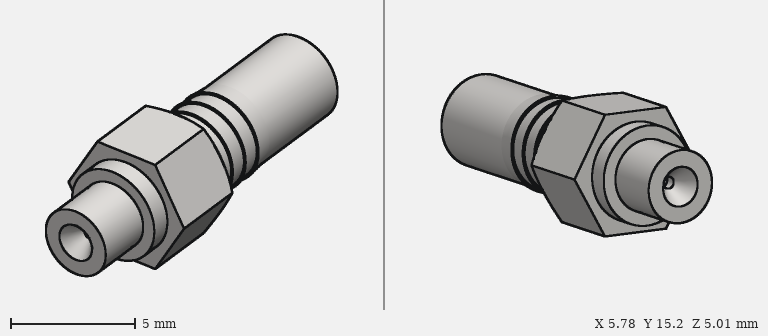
import cadquery as cq
import math

total_length = 15.24

nose_diameter = 3.0
nose_length = 2.53
collar_diameter = 4.11
collar_length = 0.88

hex_length = 3.54
hex_across_corners = 5.78
hex_chamfer_angle = 30.0
hex_chamfer_circle_diameter = 4.88

tail_diameter = 3.81
tail_end_chamfer = 0.1
barb_diameter = 4.0
barb_pitch = 0.87
barb_count = 3
first_barb_gap = 0.98

funnel_mouth_diameter = 1.63
funnel_throat_diameter = 0.49
funnel_depth = 0.9
pilot_depth = 0.49
pilot_tip_angle = 118.0

collar_start = nose_length
hex_start = collar_start + collar_length
hex_end = hex_start + hex_length
barbs_start = hex_end + first_barb_gap


def cylinder(diameter, start, end):
    """Solid cylinder along +Y between two stations."""
    plane = cq.Workplane("XZ", origin=(0, start, 0))
    return plane.circle(diameter / 2).extrude(start - end)


def revolved(profile):
    """Solid of revolution about Y from (radius, station) points."""
    return cq.Workplane("XY").polyline(profile).close().revolve(360, (0, 0, 0), (0, 1, 0))


def chamfered_hex():
    """Hex with two flats facing +Z and -Z, its rear corners cut back by a cone."""
    blank = (
        cq.Workplane("XZ", origin=(0, hex_start, 0))
        .polygon(6, hex_across_corners)
        .extrude(-hex_length)
    )
    rear_radius = hex_chamfer_circle_diameter / 2
    outer_radius = hex_across_corners
    drop = (outer_radius - rear_radius) * math.tan(math.radians(hex_chamfer_angle))
    envelope = revolved([
        (0, hex_start),
        (outer_radius, hex_start),
        (outer_radius, hex_end - drop),
        (rear_radius, hex_end),
        (0, hex_end),
    ])
    return blank.intersect(envelope)


def barbed_tail():
    """Round tail with barbs that taper toward its chamfered free end."""
    tail_radius = tail_diameter / 2
    profile = [(0, hex_end), (tail_radius, hex_end)]
    for index in range(barb_count):
        barb_start = barbs_start + index * barb_pitch
        profile.append((tail_radius, barb_start))
        profile.append((barb_diameter / 2, barb_start))
    profile += [
        (tail_radius, barbs_start + barb_count * barb_pitch),
        (tail_radius, total_length - tail_end_chamfer),
        (tail_radius - tail_end_chamfer, total_length),
        (0, total_length),
    ]
    return revolved(profile)


def nose_bore():
    """Conical funnel that narrows into a short blind bore with a conical end."""
    throat_radius = funnel_throat_diameter / 2
    bore_end = funnel_depth + pilot_depth
    tip_length = throat_radius / math.tan(math.radians(pilot_tip_angle / 2))
    return revolved([
        (0, 0),
        (funnel_mouth_diameter / 2, 0),
        (throat_radius, funnel_depth),
        (throat_radius, bore_end),
        (0, bore_end + tip_length),
    ])


nose = cylinder(nose_diameter, 0, collar_start)
collar = cylinder(collar_diameter, collar_start, hex_start)

result = nose.union(collar).union(chamfered_hex()).union(barbed_tail()).cut(nose_bore())